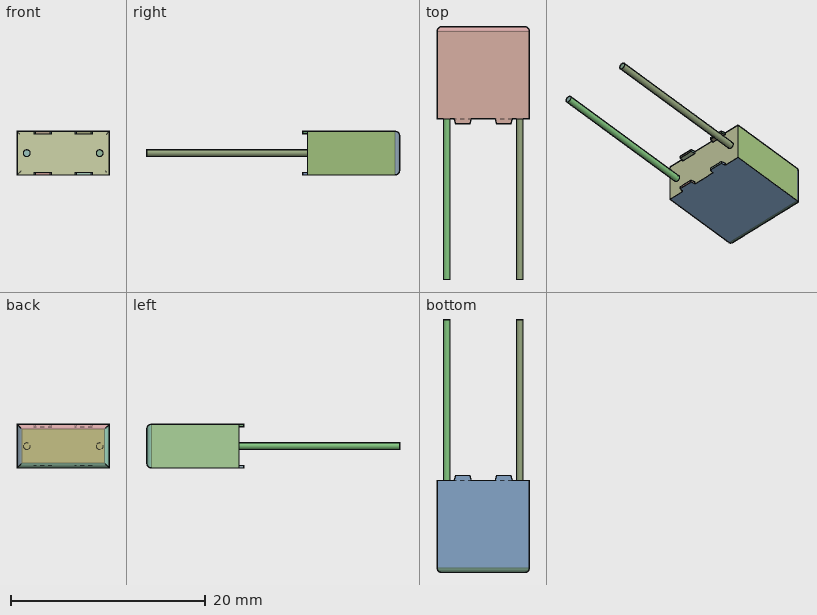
import cadquery as cq

total_length = 26.0
case_width = 9.5
case_depth = 9.5
case_height = 4.5
back_edge_radius = 0.5

tab_spacing = 4.2
tab_root_width = 1.77
tab_tip_width = 1.5
tab_length = 0.5
tab_thickness = 0.25

lead_spacing = 7.5
lead_diameter = 0.7
lead_length = total_length - case_depth

SIDES = (-1, 1)


def make_tab(x_center, z_bottom):
    """One tapered tab that stands out from the front face toward -Y."""
    return (
        cq.Workplane("XY", origin=(x_center, 0, z_bottom))
        .moveTo(-tab_root_width / 2, 0)
        .lineTo(-tab_tip_width / 2, -tab_length)
        .lineTo(tab_tip_width / 2, -tab_length)
        .lineTo(tab_root_width / 2, 0)
        .close()
        .extrude(tab_thickness)
    )


def make_case():
    """Rectangular case with rounded back edges and four standoff tabs."""
    case = (
        cq.Workplane("XY")
        .box(case_width, case_depth, case_height, centered=(True, False, True))
        .faces(">Y")
        .edges()
        .fillet(back_edge_radius)
    )
    tab_levels = (-case_height / 2, case_height / 2 - tab_thickness)
    for side in SIDES:
        for z_bottom in tab_levels:
            case = case.union(make_tab(side * tab_spacing / 2, z_bottom))
    return case


def make_lead(x_center):
    """One straight round wire that runs from the front face toward -Y."""
    return (
        cq.Workplane("XZ", origin=(x_center, 0, 0))
        .circle(lead_diameter / 2)
        .extrude(lead_length)
    )


case = make_case()
leads = [make_lead(side * lead_spacing / 2) for side in SIDES]

result = cq.Compound.makeCompound([case.val(), *[lead.val() for lead in leads]])